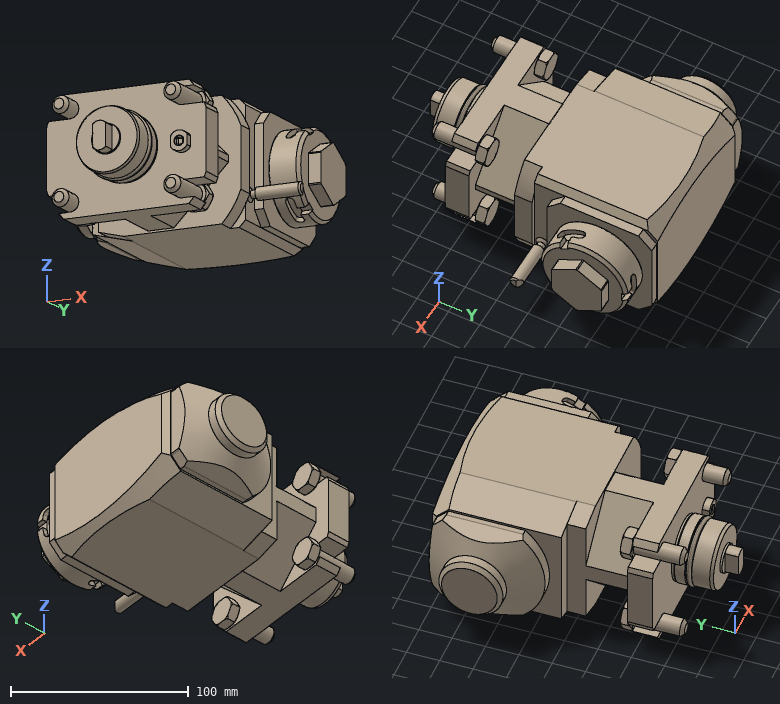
import cadquery as cq
import math


block_height = 75.0
block_half = block_height / 2
block_left = -48.4
block_right = 47.5
block_bottom = 55.5
block_top = 134.1
taper_start = -24.0
taper_angle = 15
side_chamfer = 4.0
end_chamfer = 3.7

spindle_y = 100.1
crown_radius = 185.4
crown_reach = 47.3
crown_x = 9.8

collar_bottom = 44.1
collar_left = -39.1
collar_taper_start = -23.5
neck_right = 42.3
neck_half = 36.2
neck_flat = 8.1

plate_half_x = 50.0
plate_thickness = 15.2
rim_radius = 53.4

screw_x = 35.0
screw_z = 27.1
screw_diameter = 10.6
screw_tip = -14.7
screw_chamfer = 2.2
screw_head_height = 6.7
screw_head_flats = 16.0
screw_head_chamfer = 0.8
screw_seat_diameter = 14.8

boss_height = 4.4
boss_diameter = 12.1
boss_flats = 10.5
boss_recess_diameter = 5.9
boss_recess_depth = 0.8
boss_socket = 3.9
boss_socket_depth = 3.4

shank_radius = 19.7
shank_end = -25.0
shank_chamfer = 0.7
shank_chamfer_length = 2.0
shoulder_radius = 20.2
shoulder_start = -2.0
shoulder_bevel_start = -1.3
ring_y = -10.1
ring_thickness = 3.0
ring_bulge = 1.0
groove_radius = 18.9
groove_start = -8.1
groove_end = -12.0
hub_radius = 8.8
hub_end = -26.3
tang_end = -34.4
tang_thickness = 8.1
tang_width = 17.2
tang_side_width = 13.8

cap_radius = 37.5
cap_cone_start = -55.5
cap_nose_start = -68.2
cap_nose_radius = 19.2
cap_end = -76.5
cap_nose_chamfer = 2.5
cap_half_z = 29.7
cap_top_offset = 30.2
cap_corner = 7.0
cap_taper_start = -51.7

flange_right = 53.2
flange_half = 33.4
flange_chamfer = 8.5

nozzle_y = 60.8
nozzle_z = -17.7
nozzle_radius = 3.9
nozzle_neck_radius = 2.5
nozzle_seat_radius = 4.4
nozzle_seat_length = 1.5
nozzle_body_start = 52.5
nozzle_tip_chamfer = 1.0
nozzle_slant = 3.2

nut_radius = 27.6
nut_relief = 0.8
nut_relief_length = 0.5
nut_face = 72.6
nut_chamfer = 2.0
nut_end = 80.5
hex_flats = 32.0
hex_edge_chamfer = 0.5
slot_count = 3
slot_angle = 29
slot_x = 63.2
slot_width = 5.4
slot_length = 19.5
slot_depth = 3.2
notch_width = 5.5


def prism_along_y(points, y_start, y_end):
    """Extrude an (X, Z) outline from y_start to y_end."""
    return cq.Workplane("XZ", origin=(0, y_start, 0)).polyline(points).close().extrude(y_start - y_end)


def prism_along_x(points, x_start, x_end):
    """Extrude an outline in (Y from the spindle axis, Z) from x_start to x_end."""
    plane = cq.Workplane("YZ", origin=(x_start, spindle_y, 0))
    return plane.polyline(points).close().extrude(x_end - x_start)


def turned_about_x(profile, y=spindle_y, z=0.0):
    """Revolve an (X, radius) profile about a line parallel to X."""
    return cq.Workplane("XY", origin=(0, y, z)).polyline(profile).close().revolve(360, (0, 0, 0), (1, 0, 0))


def turned_about_y(profile, x=0.0, z=0.0):
    """Revolve a (radius, Y) profile about a line parallel to Y."""
    return cq.Workplane("XY", origin=(x, 0, z)).polyline(profile).close().revolve(360, (0, 0, 0), (0, 1, 0))


def cylinder_along_y(radius, y_start, y_end, x=0.0, z=0.0):
    return cq.Workplane("XZ", origin=(x, y_start, z)).circle(radius).extrude(y_start - y_end)


def mirrored(half_outline):
    """Close an outline given on its +Z side with its mirror image on the -Z side."""
    return half_outline + [(a, -b) for a, b in reversed(half_outline)]


def tapered_half_height(x, start):
    """Half height at x of a body that narrows from the start position toward -X."""
    return block_half - (start - x) * math.tan(math.radians(taper_angle))


def crown(side):
    """Large cylinder whose surface rounds off the top corner on the given Z side."""
    offset = (crown_reach - crown_radius) / math.sqrt(2)
    length = 4 * crown_radius
    plane = cq.Plane(
        origin=(crown_x, spindle_y + offset, side * offset),
        xDir=(1, 0, 0),
        normal=(0, 1, -side),
    )
    return cq.Workplane(plane).circle(crown_radius).extrude(length / 2, both=True)


def block():
    outline = mirrored([
        (block_left, tapered_half_height(block_left, taper_start)),
        (taper_start, block_half),
        (block_right - side_chamfer, block_half),
        (block_right, block_half - side_chamfer),
    ])
    body = prism_along_y(outline, block_bottom, block_top)
    body = body.faces(">Y").edges("<X").chamfer(end_chamfer)
    return body.intersect(crown(1)).intersect(crown(-1))


def collar():
    outline = mirrored([
        (collar_left, tapered_half_height(collar_left, collar_taper_start)),
        (collar_taper_start, block_half),
        (plate_half_x, block_half),
    ])
    rim = cylinder_along_y(rim_radius, collar_bottom, block_bottom)
    return prism_along_y(outline, collar_bottom, block_bottom).intersect(rim)


def neck():
    left_flat = neck_half - (-collar_left - neck_flat)
    right_flat = neck_half - (neck_right - neck_flat)
    outline = mirrored([
        (collar_left, left_flat),
        (-neck_flat, neck_half),
        (neck_flat, neck_half),
        (neck_right, right_flat),
    ])
    return prism_along_y(outline, plate_thickness, collar_bottom)


def plate():
    body = cylinder_along_y(rim_radius, 0, plate_thickness)
    sides = cq.Workplane("XY").box(2 * plate_half_x, plate_thickness, 2 * neck_half)
    body = body.intersect(sides.translate((0, plate_thickness / 2, 0)))
    slot_run = rim_radius - screw_x
    for side_x in (-1, 1):
        for side_z in (-1, 1):
            slot = cq.Workplane("XY").box(slot_run, plate_thickness, screw_diameter)
            slot_x_center = side_x * (screw_x + slot_run / 2)
            body = body.cut(slot.translate((slot_x_center, plate_thickness / 2, side_z * screw_z)))
    return body


def screw(x, z):
    radius = screw_diameter / 2
    shaft = turned_about_y([
        (0, plate_thickness),
        (radius, plate_thickness),
        (radius, screw_tip + screw_chamfer),
        (radius - screw_chamfer, screw_tip),
        (0, screw_tip),
    ], x, z)
    corner_diameter = screw_head_flats / math.cos(math.pi / 6)
    head = cq.Workplane("XZ", origin=(x, plate_thickness, z)).polygon(6, corner_diameter)
    head = head.extrude(-screw_head_height)
    head_top = plate_thickness + screw_head_height
    head_radius = corner_diameter / 2
    dome = turned_about_y([
        (0, plate_thickness),
        (screw_seat_diameter / 2, plate_thickness),
        (head_radius, plate_thickness + screw_head_chamfer),
        (head_radius, head_top - screw_head_chamfer),
        (head_radius - screw_head_chamfer, head_top),
        (0, head_top),
    ], x, z)
    return shaft.union(head.intersect(dome))


def coolant_boss():
    boss = cylinder_along_y(boss_diameter / 2, -boss_height, 0, screw_x)
    flats = cq.Workplane("XY").box(boss_flats, 2 * boss_height, boss_diameter).translate((screw_x, 0, 0))
    recess_floor = boss_recess_depth - boss_height
    recess = cylinder_along_y(boss_recess_diameter / 2, -boss_height, recess_floor, screw_x)
    socket = cq.Workplane("XZ", origin=(screw_x, -boss_height, 0)).rect(boss_socket, boss_socket)
    return boss.intersect(flats).cut(recess).cut(socket.extrude(-boss_socket_depth))


def drive_shank():
    shank = turned_about_y([
        (0, 0),
        (shank_radius, 0),
        (shank_radius, shoulder_bevel_start),
        (shoulder_radius, shoulder_start),
        (shoulder_radius, groove_start),
        (groove_radius, groove_start),
        (groove_radius, groove_end),
        (shank_radius, groove_end),
        (shank_radius, shank_end + shank_chamfer_length),
        (shank_radius - shank_chamfer, shank_end),
        (hub_radius, shank_end),
        (hub_radius, hub_end),
        (0, hub_end),
    ])
    ring_center = shank_radius + ring_bulge - ring_thickness / 2
    ring = cq.Workplane("XY").center(ring_center, ring_y).circle(ring_thickness / 2)
    ring = ring.revolve(360, (-ring_center, 0, 0), (-ring_center, 1, 0))
    tang = cq.Workplane("XZ", origin=(0, hub_end, 0))
    half_thickness = tang_thickness / 2
    tang = tang.moveTo(-half_thickness, -tang_side_width / 2).lineTo(-half_thickness, tang_side_width / 2)
    tang = tang.threePointArc((0, tang_width / 2), (half_thickness, tang_side_width / 2))
    tang = tang.lineTo(half_thickness, -tang_side_width / 2)
    tang = tang.threePointArc((0, -tang_width / 2), (-half_thickness, -tang_side_width / 2))
    tang = tang.close().extrude(hub_end - tang_end)
    return shank.union(ring).union(tang)


def spindle_cap():
    turned = turned_about_x([
        (block_left, 0),
        (block_left, cap_radius),
        (cap_cone_start, cap_radius),
        (cap_nose_start, cap_nose_radius),
        (cap_end + cap_nose_chamfer, cap_nose_radius),
        (cap_end, cap_nose_radius - cap_nose_chamfer),
        (cap_end, 0),
    ])
    envelope = prism_along_x(mirrored([
        (-cap_radius, cap_half_z),
        (cap_top_offset - cap_corner, cap_half_z),
        (cap_top_offset, cap_half_z - cap_corner),
    ]), cap_end, block_left)
    end_half = cap_half_z - (cap_taper_start - cap_end) * math.tan(math.radians(taper_angle))
    tapered = prism_along_y(mirrored([
        (cap_end, end_half),
        (cap_taper_start, cap_half_z),
        (block_left, cap_half_z),
    ]), spindle_y - cap_radius, spindle_y + cap_radius)
    return turned.intersect(envelope).intersect(tapered)


def spindle_flange():
    side = 2 * flange_half
    plate_body = cq.Workplane("YZ", origin=(block_right, spindle_y, 0)).rect(side, side)
    return plate_body.extrude(flange_right - block_right).edges("|X").chamfer(flange_chamfer)


def coolant_nozzle():
    nozzle = turned_about_x([
        (block_right, 0),
        (block_right, nozzle_seat_radius),
        (block_right + nozzle_seat_length, nozzle_neck_radius),
        (nozzle_body_start, nozzle_neck_radius),
        (nozzle_body_start, nozzle_radius),
        (nut_end - nozzle_tip_chamfer, nozzle_radius),
        (nut_end, nozzle_radius - nozzle_tip_chamfer),
        (nut_end, 0),
    ], nozzle_y, nozzle_z)
    edge_y = nozzle_y + nozzle_radius
    slant = cq.Workplane("XY", origin=(0, 0, nozzle_z)).polyline([
        (nut_end - nozzle_slant, edge_y),
        (nut_end, edge_y),
        (nut_end, edge_y - nozzle_slant),
    ]).close().extrude(nozzle_radius, both=True)
    return nozzle.cut(slant)


def build_housing():
    body = block()
    for part in (collar(), neck(), plate(), drive_shank(), coolant_boss()):
        body = body.union(part)
    for x in (-screw_x, screw_x):
        for z in (-screw_z, screw_z):
            body = body.union(screw(x, z))
    for part in (spindle_cap(), spindle_flange(), coolant_nozzle()):
        body = body.union(part)
    return body


def spanner_slot(angle):
    """Round-ended slot and the notch from it to the nut face, at an angle from +Z toward -Y."""
    slot = cq.Workplane("XY", origin=(slot_x, 0, 0)).slot2D(slot_length, slot_width, 90).extrude(nut_radius)
    floor_radius = nut_radius - slot_depth
    core = cq.Workplane("YZ").circle(floor_radius).extrude(nut_end)
    notch_length = nut_face - slot_x
    notch = cq.Workplane("XY").box(notch_length, notch_width, slot_depth, centered=(False, True, False))
    notch = notch.translate((slot_x, 0, floor_radius))
    cutter = slot.cut(core).union(notch)
    return cutter.rotate((0, 0, 0), (1, 0, 0), angle).translate((0, spindle_y, 0))


def build_nut():
    relief_radius = nut_radius - nut_relief
    relief_end = flange_right + nut_relief_length
    nut = turned_about_x([
        (flange_right, 0),
        (flange_right, relief_radius),
        (relief_end, relief_radius),
        (relief_end, nut_radius),
        (nut_face - nut_chamfer, nut_radius),
        (nut_face, nut_radius - nut_chamfer),
        (nut_face, 0),
    ])
    for index in range(slot_count):
        nut = nut.cut(spanner_slot(slot_angle + index * 360 / slot_count))
    hexagon = cq.Workplane("YZ", origin=(nut_face, spindle_y, 0))
    hexagon = hexagon.transformed(rotate=(0, 0, 90)).polygon(6, hex_flats / math.cos(math.pi / 6))
    hexagon = hexagon.extrude(nut_end - nut_face).edges("|X").chamfer(hex_edge_chamfer)
    return nut.union(hexagon)


housing = build_housing()
nut = build_nut()
result = cq.Compound.makeCompound([housing.solids().val(), nut.solids().val()])